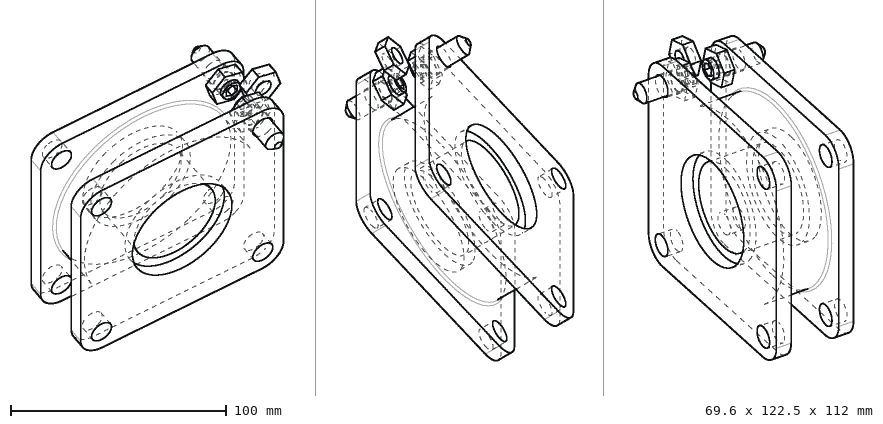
import cadquery as cq
import math

flange_side = 112.0
flange_thickness = 8.1
corner_radius = 12.0
spool_width = 42.1
hub_diameter = 96.7
hub_fillet = 1.2
bore_diameter = 45.0
counterbore_diameter = 55.0
counterbore_depth = 6.5
bolt_pitch = 89.0
bolt_hole_diameter = 11.0

screw_diameter = 10.0
screw_length = 30.0
point_chamfer = 3.1
socket_flats = 6.0
socket_depth = 5.0
socket_turn = -30
left_tip_x = -35.3
right_tip_x = 34.3

nut_flats = 17.0
nut_thickness = 5.8
nut_turn = -15
loose_nut_bore = 8.5
loose_nut_center = (-0.5, 57.0, 46.0)

hexagon_sides = 6
flange_offset = spool_width / 2 - flange_thickness
bolt_offset = bolt_pitch / 2


def plane_at(x, y=0, z=0):
    """Plane with its normal along +X and its local axes along Y and Z."""
    return cq.Workplane(cq.Plane(origin=(x, y, z), xDir=(0, 1, 0), normal=(1, 0, 0)))


def across_corners(flats):
    """Corner-to-corner width of a hexagon, from its width across flats."""
    return flats / math.cos(math.pi / hexagon_sides)


def make_flange(start_x):
    """Square plate with rounded corners and four bolt holes, starting at start_x."""
    return (
        plane_at(start_x)
        .rect(flange_side, flange_side)
        .extrude(flange_thickness)
        .edges("|X")
        .fillet(corner_radius)
        .faces(">X")
        .workplane(origin=(0, 0, 0))
        .rect(bolt_pitch, bolt_pitch, forConstruction=True)
        .vertices()
        .hole(bolt_hole_diameter)
    )


def make_hub():
    """Hub with a concave fillet at each end, revolved about the X axis."""
    radius = hub_diameter / 2
    fillet_start = flange_offset - hub_fillet
    arc_depth = hub_fillet * (1 - math.sqrt(0.5))
    return (
        cq.Workplane("XZ")
        .moveTo(-flange_offset, 0)
        .lineTo(-flange_offset, radius + hub_fillet)
        .threePointArc((arc_depth - flange_offset, radius + arc_depth), (-fillet_start, radius))
        .lineTo(fillet_start, radius)
        .threePointArc((flange_offset - arc_depth, radius + arc_depth), (flange_offset, radius + hub_fillet))
        .lineTo(flange_offset, 0)
        .close()
        .revolve(360, (0, 0, 0), (1, 0, 0))
    )


def make_spool():
    """Hub and both flanges as one piece, bored through and counterbored at each end."""
    spool = make_hub()
    for start_x in (-spool_width / 2, flange_offset):
        spool = spool.union(make_flange(start_x))
    spool = spool.cut(plane_at(-spool_width / 2).circle(bore_diameter / 2).extrude(spool_width))
    for start_x in (-spool_width / 2, spool_width / 2 - counterbore_depth):
        spool = spool.cut(plane_at(start_x).circle(counterbore_diameter / 2).extrude(counterbore_depth))
    return spool


def make_set_screw(tip_x, inward):
    """Screw in the upper +Y bolt hole, running from its point at tip_x; inward is +1 or -1 along X."""
    socket_x = tip_x + inward * screw_length
    screw = (
        plane_at(tip_x, bolt_offset, bolt_offset)
        .circle(screw_diameter / 2)
        .extrude(inward * screw_length)
    )
    screw = screw.faces("<X" if inward > 0 else ">X").chamfer(point_chamfer)
    socket = (
        plane_at(socket_x, bolt_offset, bolt_offset)
        .transformed(rotate=(0, 0, socket_turn))
        .polygon(hexagon_sides, across_corners(socket_flats))
        .extrude(-inward * socket_depth)
    )
    return screw.cut(socket)


def make_nut(center, bore):
    """Hexagon nut with its axis along X."""
    x, y, z = center
    return (
        plane_at(x - nut_thickness / 2, y, z)
        .transformed(rotate=(0, 0, nut_turn))
        .polygon(hexagon_sides, across_corners(nut_flats))
        .circle(bore / 2)
        .extrude(nut_thickness)
    )


spool = make_spool()

set_screws = [make_set_screw(tip_x, inward) for tip_x, inward in ((left_tip_x, 1), (right_tip_x, -1))]

seated_nut_x = flange_offset - nut_thickness / 2
nuts = [make_nut((side * seated_nut_x, bolt_offset, bolt_offset), screw_diameter) for side in (-1, 1)]
nuts.append(make_nut(loose_nut_center, loose_nut_bore))

result = cq.Compound.makeCompound([body.val() for body in [spool, *set_screws, *nuts]])